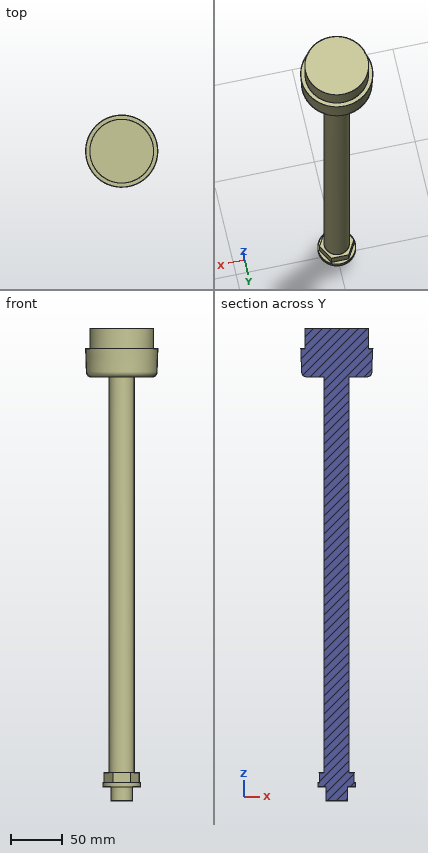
import cadquery as cq
import math

total_height = 458.5
bottom_z = -total_height / 2
top_z = total_height / 2

stud_diameter = 21.0
stud_length = 13.8
flange_diameter = 36.5
flange_thickness = 4.0
nut_across_flats = 30.0
nut_height = 9.5

tube_diameter = 24.8

cap_diameter = 62.0
cap_height = 19.5
collar_top_diameter = 70.0
collar_bottom_diameter = 68.5
collar_height = 27.5
collar_edge_radius = 5.0

flange_z = bottom_z + stud_length
nut_z = flange_z + flange_thickness
tube_z = nut_z + nut_height
collar_top_z = top_z - cap_height
collar_z = collar_top_z - collar_height


def cylinder(diameter, start_z, end_z):
    """Solid cylinder on the Z axis between two heights."""
    return cq.Workplane("XY").workplane(offset=start_z).circle(diameter / 2).extrude(end_z - start_z)


def hex_nut():
    """Hexagonal prism with two of its corners on the X axis."""
    across_corners = nut_across_flats / math.cos(math.pi / 6)
    return cq.Workplane("XY").workplane(offset=nut_z).polygon(6, across_corners).extrude(nut_height)


def collar():
    """Tapered round collar, widest at the top, with a rounded lower edge."""
    profile = (
        cq.Workplane("XZ")
        .moveTo(0, collar_z)
        .lineTo(collar_bottom_diameter / 2, collar_z)
        .lineTo(collar_top_diameter / 2, collar_top_z)
        .lineTo(0, collar_top_z)
        .close()
    )
    return profile.revolve(360, (0, 0), (0, 1)).edges("<Z").fillet(collar_edge_radius)


result = (
    cylinder(stud_diameter, bottom_z, flange_z)
    .union(cylinder(flange_diameter, flange_z, nut_z))
    .union(hex_nut())
    .union(cylinder(tube_diameter, tube_z, collar_z))
    .union(collar())
    .union(cylinder(cap_diameter, collar_top_z, top_z))
)